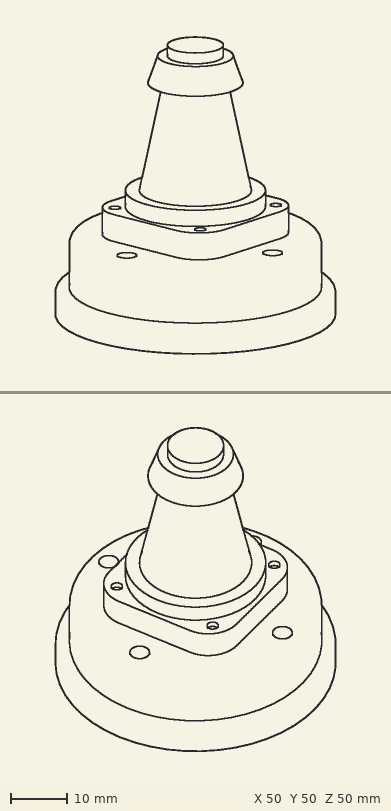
import cadquery as cq

flange_radius = 25
flange_height = 5
flange_fillet = 1
drum_radius = 22.5
drum_height = 10
drum_fillet = 2

plate_side = 27
plate_height = 5
plate_corner_radius = 6
collar_radius = 12.5
collar_height = 3

stem_bottom_radius = 10
stem_top_radius = 5.85
stem_height = 20
head_bottom_radius = 8.5
head_top_radius = 6.75
head_height = 5
tip_radius = 5
tip_height = 2

drum_hole_count = 4
drum_hole_diameter = 3.5
drum_hole_center_radius = 18.4
drum_hole_depth = 5
plate_hole_diameter = 2
plate_hole_spacing = 20.3
plate_hole_depth = 1

flange_top = flange_height
drum_top = flange_top + drum_height
plate_top = drum_top + plate_height
collar_top = plate_top + collar_height
stem_top = collar_top + stem_height
head_top = stem_top + head_height


def disc(radius, height, bottom):
    return cq.Workplane("XY").workplane(offset=bottom).circle(radius).extrude(height)


def cone(bottom_radius, top_radius, height, bottom):
    return cq.Workplane("XY").add(
        cq.Solid.makeCone(bottom_radius, top_radius, height, cq.Vector(0, 0, bottom))
    )


def mounting_plate():
    return (
        cq.Workplane("XY")
        .workplane(offset=drum_top)
        .rect(plate_side, plate_side)
        .extrude(plate_height)
        .edges("|Z")
        .fillet(plate_corner_radius)
    )


def drum_holes():
    return (
        cq.Workplane("XY")
        .workplane(offset=drum_top)
        .polarArray(drum_hole_center_radius, 0, 360, drum_hole_count)
        .circle(drum_hole_diameter / 2)
        .extrude(-drum_hole_depth)
    )


def plate_holes():
    return (
        cq.Workplane("XY")
        .workplane(offset=plate_top)
        .rect(plate_hole_spacing, plate_hole_spacing, forConstruction=True)
        .vertices()
        .circle(plate_hole_diameter / 2)
        .extrude(-plate_hole_depth)
    )


flange = disc(flange_radius, flange_height, 0).faces(">Z").edges().fillet(flange_fillet)
drum = disc(drum_radius, drum_height, flange_top).faces(">Z").edges().fillet(drum_fillet)

result = (
    flange.union(drum)
    .union(mounting_plate())
    .union(disc(collar_radius, collar_height, plate_top))
    .union(cone(stem_bottom_radius, stem_top_radius, stem_height, collar_top))
    .union(cone(head_bottom_radius, head_top_radius, head_height, stem_top))
    .union(disc(tip_radius, tip_height, head_top))
    .cut(drum_holes())
    .cut(plate_holes())
)